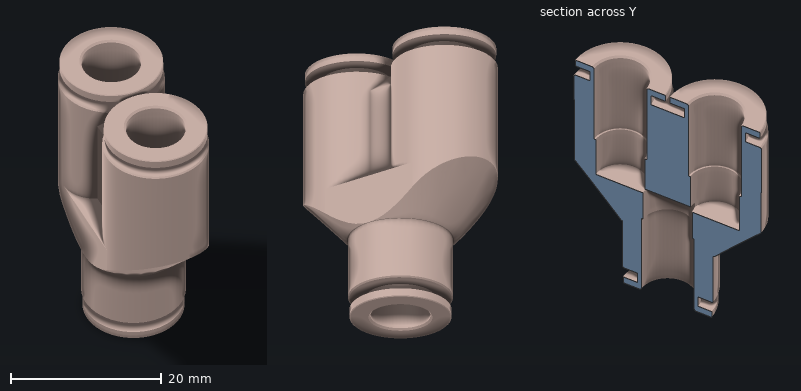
import cadquery as cq

total_height = 37.5
branch_diameter = 14.25
branch_spacing = 14.48
branch_radius = branch_diameter / 2
branch_offset = branch_spacing / 2
branch_top = 34.75
edge_chamfer = 0.2

stem_diameter = 14.0
stem_bottom = 2.78
cone_bottom = 11.32
cone_top = 19.12
cone_top_radius = branch_offset + branch_radius

neck_diameter = 9.4
flange_thickness = 1.15
flange_chamfer = 0.1
branch_flange_diameter = 13.85
stem_flange_diameter = 13.6

web_half_width = 4.5
web_bevel = 2.78
block_top = 18.15

tube_diameter = 8.0
bore_diameter = 7.5
lead_in = 0.25
tube_depth = 13.12
branch_bore_floor = 18.0
stem_bore_top = 18.75


def cylinder(diameter, bottom, top, x=0):
    """Upright cylinder between two heights."""
    return cq.Workplane("XY", origin=(x, 0, bottom)).circle(diameter / 2).extrude(top - bottom)


def branch(x):
    """Branch barrel with its release collar on top."""
    barrel = cylinder(branch_diameter, cone_bottom, branch_top, x)
    barrel = barrel.faces(">Z").edges().chamfer(edge_chamfer)
    neck = cylinder(neck_diameter, branch_top, total_height, x)
    flange = cylinder(branch_flange_diameter, total_height - flange_thickness, total_height, x)
    flange = flange.faces(">Z").edges().chamfer(flange_chamfer)
    return barrel.union(neck).union(flange)


def center_block():
    """Block and bevelled web that fill the space between the branch axes."""
    half_profile = [
        (branch_radius, cone_bottom),
        (branch_radius, block_top),
        (web_half_width, cone_top),
        (web_half_width, branch_top - web_bevel),
        (web_half_width - web_bevel, branch_top),
    ]
    mirrored_profile = [(-y, z) for y, z in reversed(half_profile)]
    return (
        cq.Workplane("YZ")
        .polyline(half_profile + mirrored_profile)
        .close()
        .extrude(branch_offset, both=True)
    )


def cone_envelope():
    """Revolved limit that trims the lower end of the branches to a cone."""
    profile = [
        (0, cone_bottom),
        (branch_radius, cone_bottom),
        (cone_top_radius, cone_top),
        (cone_top_radius, total_height),
        (0, total_height),
    ]
    return cq.Workplane("XZ").polyline(profile).close().revolve(360, (0, 0, 0), (0, 1, 0))


def stem():
    """Stem barrel with its release collar at the bottom."""
    barrel = cylinder(stem_diameter, stem_bottom, cone_bottom)
    barrel = barrel.faces("<Z").edges().chamfer(edge_chamfer)
    neck = cylinder(neck_diameter, 0, stem_bottom)
    flange = cylinder(stem_flange_diameter, 0, flange_thickness)
    flange = flange.faces("<Z").edges().chamfer(flange_chamfer)
    return barrel.union(neck).union(flange)


def bore(x, mouth, end):
    """Stepped bore with a chamfered mouth, running from the mouth to the end height."""
    inward = 1 if end > mouth else -1
    tube_radius = tube_diameter / 2
    bore_radius = bore_diameter / 2
    step = mouth + inward * tube_depth
    profile = [
        (0, mouth),
        (tube_radius + lead_in, mouth),
        (tube_radius, mouth + inward * lead_in),
        (tube_radius, step),
        (bore_radius, step),
        (bore_radius, end),
        (0, end),
    ]
    solid = cq.Workplane("XZ").polyline(profile).close().revolve(360, (0, 0, 0), (0, 1, 0))
    return solid.translate((x, 0, 0))


body = center_block()
for branch_x in (-branch_offset, branch_offset):
    body = body.union(branch(branch_x))
body = body.intersect(cone_envelope()).union(stem())

for branch_x in (-branch_offset, branch_offset):
    body = body.cut(bore(branch_x, total_height, branch_bore_floor))
result = body.cut(bore(0, 0, stem_bore_top))